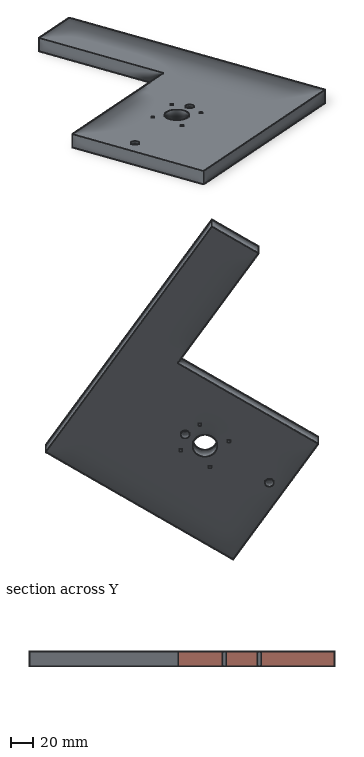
import cadquery as cq

length = 273.0
depth = 200.0
thickness = 13.5

body_width = 140.0
arm_depth = 50.0
arm_length = length - body_width

bore_x = 190.0
bore_y = 84.0
bore_diameter = 22.0
screw_spacing = 31.0
screw_diameter = 3.0
rod_diameter = 8.0
back_rod_offset = 21.0
front_rod_offset = 68.8


def make_plate():
    """L-shaped plate with its front left corner region left open."""
    outline = [
        (arm_length, 0),
        (length, 0),
        (length, depth),
        (0, depth),
        (0, depth - arm_depth),
        (arm_length, depth - arm_depth),
    ]
    return cq.Workplane("XY").polyline(outline).close().extrude(thickness)


def through_holes(centers, diameter):
    """Cylinders through the plate, at places relative to the bore."""
    return (
        cq.Workplane("XY", origin=(bore_x, bore_y, 0))
        .pushPoints(centers)
        .circle(diameter / 2)
        .extrude(thickness)
    )


half_spacing = screw_spacing / 2
screw_centers = [(x, y) for x in (-half_spacing, half_spacing) for y in (-half_spacing, half_spacing)]
rod_centers = [(0, back_rod_offset), (0, -front_rod_offset)]

result = (
    make_plate()
    .cut(through_holes([(0, 0)], bore_diameter))
    .cut(through_holes(screw_centers, screw_diameter))
    .cut(through_holes(rod_centers, rod_diameter))
)